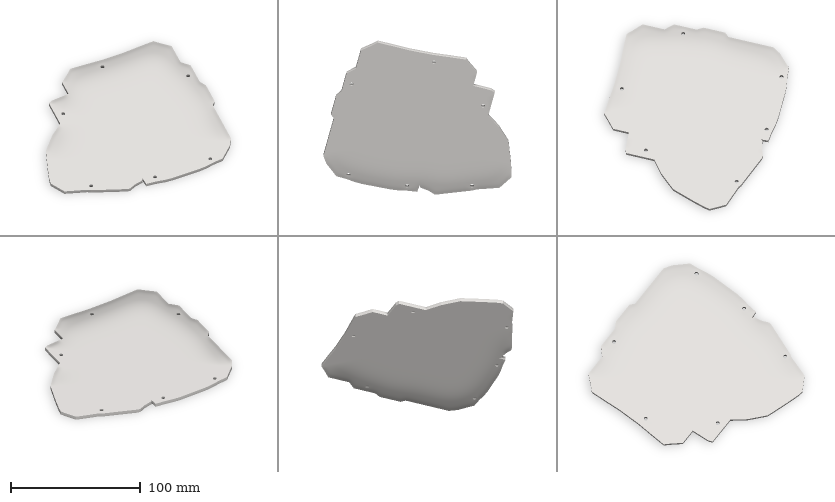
import cadquery as cq

width = 130.6
length = 148.2
thickness = 3.0
hole_diameter = 3.0

shoulder_y = 139.3
upper_edge_y = 145.3
lower_edge_y = 30.2

left_mid_y = 93.5
right_mid_y = 99.5
side_hole_offset = 23.1


def mirrored_side(half_side, mid_y):
    """Return (x, y) points for a side from (x, distance above mid_y) pairs listed top to bottom."""
    upper = [(x, mid_y + offset) for x, offset in half_side]
    lower = [(x, mid_y - offset) for x, offset in reversed(half_side)]
    return upper + lower


left_side = mirrored_side(
    [(10.0, shoulder_y - left_mid_y), (3.9, 38.8), (0.0, 34.8), (0.7, 20.8), (1.0, 16.7), (1.5, 8.9)],
    left_mid_y,
)

right_side = mirrored_side(
    [(128.0, 32.0), (128.8, 24.2), (130.1, 16.7), (width, 11.3)],
    right_mid_y,
)

upper_edge = [
    (27.4, shoulder_y),
    (33.3, upper_edge_y),
    (51.3, upper_edge_y),
    (56.2, length),
    (73.4, length),
    (76.5, upper_edge_y),
    (112.4, upper_edge_y),
    (118.5, 141.5),
    (122.9, 136.8),
]

notch_and_slant = [
    (121.7, 67.0),
    (123.6, 66.4),
    (125.1, 59.3),
    (127.3, 54.2),
    (127.0, 52.0),
    (118.5, 29.5),
    (117.1, 26.0),
    (115.6, 23.7),
    (110.1, 6.7),
]

lower_edge = [
    (98.7, 0.0),
    (94.5, 0.7),
    (84.6, 3.7),
    (67.3, 9.5),
    (55.3, 20.0),
    (47.0, lower_edge_y),
    (24.8, lower_edge_y),
    (23.4, 33.3),
    (22.4, left_side[-1][1]),
]

outline = left_side[::-1] + upper_edge + right_side + notch_and_slant + lower_edge

hole_centers = [
    (42.2, shoulder_y),
    (124.5, right_mid_y + side_hole_offset),
    (124.5, right_mid_y - side_hole_offset),
    (8.0, 82.3),
    (38.8, 36.2),
    (113.1, 27.7),
]

plate = cq.Workplane("XY").polyline(outline).close().extrude(thickness)
holes = cq.Workplane("XY").pushPoints(hole_centers).circle(hole_diameter / 2).extrude(thickness)

result = plate.cut(holes)